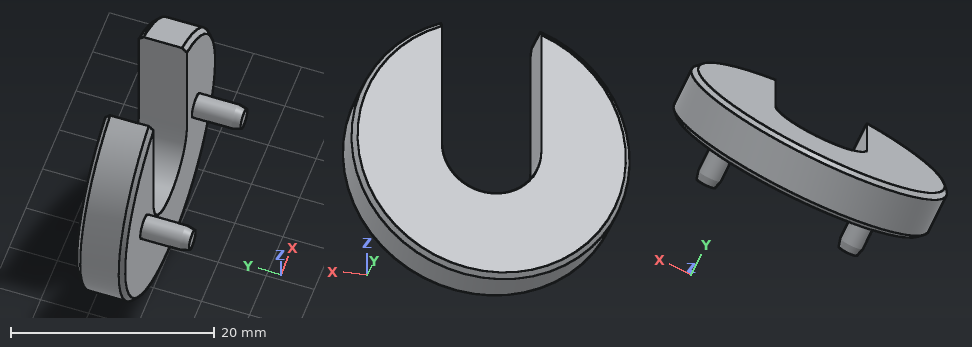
import cadquery as cq

disc_diameter = 28.0
disc_thickness = 5.0
rim_chamfer = 0.5
slot_width = 10.0

pin_diameter = 2.5
pin_length = 4.98
pin_spacing = 15.5
pin_tip_length = 0.85
pin_tip_inset = 0.22

disc_radius = disc_diameter / 2
pin_radius = pin_diameter / 2


def make_disc():
    """Disc from Y = 0 to Y = disc_thickness, with both rims chamfered."""
    disc = cq.Workplane("XZ").circle(disc_radius).extrude(-disc_thickness)
    return disc.edges("%CIRCLE").chamfer(rim_chamfer)


def make_slot():
    """Round-bottomed slot, open toward +Z and through the full thickness."""
    half_width = slot_width / 2
    return (
        cq.Workplane("XZ")
        .moveTo(-half_width, disc_radius)
        .lineTo(-half_width, 0)
        .threePointArc((0, -half_width), (half_width, 0))
        .lineTo(half_width, disc_radius)
        .close()
        .extrude(-disc_thickness)
    )


def make_pin(x):
    """Pin pointing toward -Y, rooted in the disc face, with a tapered tip."""
    pin = cq.Workplane("XZ").center(x, 0).circle(pin_radius).extrude(pin_length)
    return pin.faces("<Y").chamfer(pin_tip_length, pin_tip_inset)


result = make_disc().cut(make_slot())
for side in (-1, 1):
    result = result.union(make_pin(side * pin_spacing / 2))